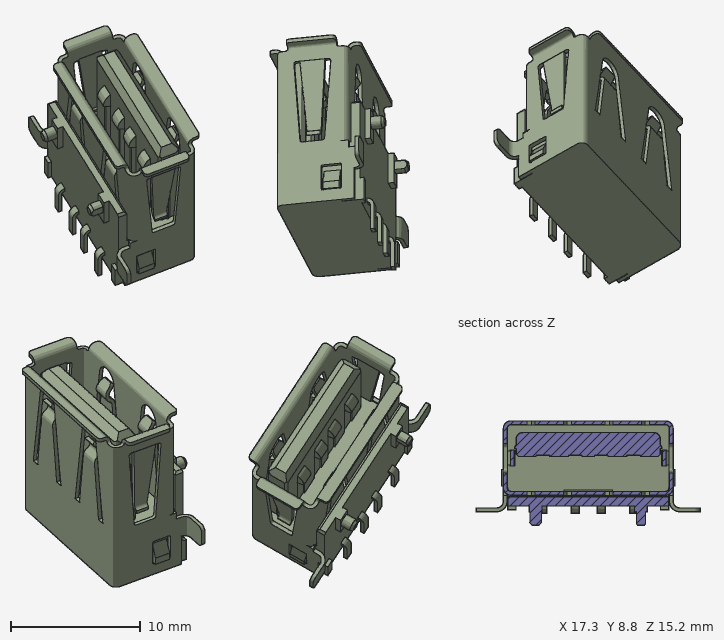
import cadquery as cq
import math


sheet = 0.31
shell_x = 6.55
shell_y = 2.87
shell_top = 13.1
corner_radius = 0.59
inner_x = shell_x - sheet
inner_y = shell_y - sheet

rim_top = 13.75
rim_bend = 0.41
rim_overhang = 0.75
rim_corner = 0.33
rim_root = 0.19
long_rim = 5.61
short_rim = 1.93

floor_z = 5.0
plate_x = 6.2
plate_top = 8.47
plate_back = -2.97
plate_front = -3.7
plate_chamfer = 0.19
tongue_x = 5.55
tongue_front = 0.1
tongue_back = 1.97
tongue_top = 13.32

pad_front = -4.15
peg_x = 4.05
peg_z = 7.47
peg_tip = -5.18
peg_radius = 0.5
contact_places = (-3.49, -1.0, 1.0, 3.49)


def box(x0, x1, y0, y1, z0, z1):
    return cq.Workplane("XY").box(x1 - x0, y1 - y0, z1 - z0, centered=False).translate((x0, y0, z0))


def mirrored(body):
    """The body together with its mirror image across X = 0."""
    return body.union(body.mirror("YZ"))


def bent_strip(plane, start, heading, moves, half_width):
    """Sheet strip following its middle line; each move is (length, 0) or (bend radius, turn in degrees)."""
    half = sheet / 2

    def side_point(middle, angle, side):
        return (middle[0] - side * half * math.sin(angle), middle[1] + side * half * math.cos(angle))

    middle = start
    angle = math.radians(heading)
    stations = [(middle, angle)]
    halfway = []
    for size, turn in moves:
        if turn == 0:
            middle = (middle[0] + size * math.cos(angle), middle[1] + size * math.sin(angle))
            halfway.append(None)
        else:
            sweep = math.radians(turn)
            reach = math.copysign(size, turn)
            center = (middle[0] - reach * math.sin(angle), middle[1] + reach * math.cos(angle))
            on_arc = [
                (center[0] + reach * math.sin(a), center[1] - reach * math.cos(a))
                for a in (angle + sweep / 2, angle + sweep)
            ]
            halfway.append((on_arc[0], angle + sweep / 2))
            middle = on_arc[1]
            angle += sweep
        stations.append((middle, angle))

    outline = cq.Workplane(plane).moveTo(*side_point(*stations[0], 1))
    for station, between in zip(stations[1:], halfway):
        if between is None:
            outline = outline.lineTo(*side_point(*station, 1))
        else:
            outline = outline.threePointArc(side_point(*between, 1), side_point(*station, 1))
    outline = outline.lineTo(*side_point(*stations[-1], -1))
    for station, between in zip(stations[-2::-1], halfway[::-1]):
        if between is None:
            outline = outline.lineTo(*side_point(*station, -1))
        else:
            outline = outline.threePointArc(side_point(*between, -1), side_point(*station, -1))
    return outline.close().extrude(half_width, both=True)


def shell_walls():
    """Rounded tube whose front wall stops at the socket floor; the side walls run on forward."""
    tab_top = 4.42
    side_front = -3.31
    outer = box(-shell_x, shell_x, -shell_y, shell_y, 0, shell_top).edges("|Z").fillet(corner_radius)
    inner = box(-inner_x, inner_x, -inner_y, inner_y, 0, shell_top)
    walls = outer.cut(inner.edges("|Z").fillet(corner_radius - sheet))
    corner_start = corner_radius - shell_y
    walls = walls.cut(box(-shell_x, shell_x, -shell_y, corner_start, 0, floor_z))
    side = box(-shell_x, -inner_x, -shell_y, corner_start, 0, floor_z)
    side = side.union(box(-shell_x, -inner_x, side_front, corner_start, 0, tab_top))
    return walls.union(mirrored(side)).union(mirrored(solder_tab(side_front, tab_top)))


def solder_tab(side_front, tab_top):
    """Tab bent outward from the side wall to lie on the board."""
    tab_height = 1.81
    tab_end = -8.63
    tip_radius = 0.47
    middle_x = sheet / 2 - shell_x
    bend = side_front - pad_front - sheet / 2
    flat = middle_x - bend - tab_end
    tab = bent_strip("XY", (middle_x, side_front), -90, [(bend, -90), (flat, 0)], tab_height / 2)
    return tab.edges("|Y and <X").fillet(tip_radius).translate((0, 0, tab_top - tab_height / 2))


def rim_flange(wall, half_length):
    """Flange flaring outward over a wall whose outer face is at X = wall."""
    middle = wall - sheet / 2
    rise = rim_top - sheet / 2 - rim_bend - shell_top
    flat = rim_overhang + sheet / 2 - rim_bend
    flange = bent_strip(
        "XZ", (middle, shell_top), 90, [(rise, 0), (rim_bend, -90), (flat, 0)], half_length
    )
    flange = flange.edges("|Z and >X").fillet(rim_corner)
    sweep = rim_root * (1 - math.sqrt(0.5))
    for side in (-1, 1):
        root = (
            cq.Workplane("YZ", origin=(wall - sheet, 0, 0))
            .moveTo(side * half_length, shell_top)
            .lineTo(side * (half_length + rim_root), shell_top)
            .threePointArc(
                (side * (half_length + sweep), shell_top + sweep),
                (side * half_length, shell_top + rim_root),
            )
            .close()
            .extrude(sheet)
        )
        flange = flange.union(root)
    return flange


def rim():
    flanges = mirrored(rim_flange(shell_x, short_rim))
    for turn in (90, 270):
        flanges = flanges.union(rim_flange(shell_y, long_rim).rotate((0, 0, 0), (0, 0, 1), turn))
    return flanges


spring_x = 3.0
spring_foot = 5.23
arch_top = 13.01
arch_shoulder = 12.2
arch_half_width = 1.0
arch_foot_half_width = 1.98


def arch_window():
    """Flared window with a round top, through the wall at -Y."""
    return (
        cq.Workplane("XZ", origin=(0, -inner_y + sheet, 0))
        .moveTo(-arch_foot_half_width, spring_foot)
        .lineTo(-arch_half_width, arch_shoulder)
        .threePointArc((0, arch_top), (arch_half_width, arch_shoulder))
        .lineTo(arch_foot_half_width, spring_foot)
        .close()
        .extrude(3 * sheet)
    )


def wall_spring():
    """Leaf rising from the foot of the arch window, humped inward near its tip."""
    straight_top = 10.08
    tip_z = 11.96
    tip_half_width = 0.57
    foot_half_width = 1.36
    tip_radius = 0.38
    blank_reach = 1.73
    inward_bend = (0.47, -60)
    hump = (0.55, 100)
    tip_length = 0.67
    strip = bent_strip(
        "YZ",
        (sheet / 2 - shell_y, spring_foot),
        90,
        [(straight_top - spring_foot, 0), inward_bend, hump, (tip_length, 0)],
        foot_half_width,
    )
    blank = (
        cq.Workplane("XZ", origin=(0, -shell_y, 0))
        .polyline([
            (-foot_half_width, spring_foot),
            (-tip_half_width, tip_z),
            (tip_half_width, tip_z),
            (foot_half_width, spring_foot),
        ])
        .close()
        .extrude(blank_reach, both=True)
        .edges("|Y and >Z")
        .fillet(tip_radius)
    )
    return strip.intersect(blank)


def at_arch_places(body):
    pair = mirrored(body.translate((spring_x, 0, 0)))
    return pair.union(pair.mirror("XZ"))


side_window_top = 12.13


def trapezoid_prism(top_half, foot_half, top_z, foot_z, reach):
    """Upright prism with a trapezoid outline in YZ, centred on the side wall at -X."""
    return (
        cq.Workplane("YZ", origin=(-shell_x, 0, 0))
        .polyline([(-foot_half, foot_z), (-top_half, top_z), (top_half, top_z), (foot_half, foot_z)])
        .close()
        .extrude(reach, both=True)
    )


def side_window():
    top_half_width = 1.47
    foot_half_width = 0.97
    window_corner = 0.2
    window = trapezoid_prism(top_half_width, foot_half_width, side_window_top, spring_foot, 2 * sheet)
    return window.edges("|X").fillet(window_corner)


def side_spring():
    """Leaf hanging from the top of the side window, leaning inward with its tip curled out."""
    lean = 6
    straight = 5.7
    curl_radius = 0.48
    curl = 90 - lean
    root_half_width = 1.0
    tip_half_width = 0.52
    foot_z = 5.87
    root_z = side_window_top + sheet / 2
    strip = bent_strip(
        "XZ",
        (sheet / 2 - shell_x, root_z),
        lean - 90,
        [(straight, 0), (curl_radius, -curl)],
        root_half_width,
    )
    return strip.intersect(trapezoid_prism(root_half_width, tip_half_width, root_z, foot_z, 4 * sheet))


latch_foot = 0.98


def latch_window():
    front = -2.3
    back = -0.7
    top = 3.09
    window_corner = 0.1
    window = box(-shell_x - sheet, -inner_x, front, back, latch_foot, top)
    return window.edges("|X").fillet(window_corner)


def latch():
    """Wedge standing on the insulator inside the latch window."""
    latch_x = -6.68
    back = -0.86
    width = 1.3
    ramp_foot = 1.57
    ramp_top = 2.68
    root_x = 0.17 - inner_x
    return (
        cq.Workplane("XZ", origin=(0, back, 0))
        .polyline([(root_x, latch_foot), (latch_x, latch_foot), (latch_x, ramp_foot),
                   (-inner_x, ramp_top), (root_x, ramp_top)])
        .close()
        .extrude(width)
    )


def insulator_base():
    """Block closing the bottom of the shell, with a slot in its floor and an upright plate in front."""
    block = box(-inner_x, inner_x, corner_radius - shell_y, inner_y, 0, floor_z)
    block = block.edges("|Z and >Y").fillet(corner_radius - sheet)
    link = box(-plate_x, plate_x, plate_back, corner_radius - shell_y, 0, floor_z)
    plate = box(-plate_x, plate_x, plate_front, plate_back, 0, plate_top)
    plate = plate.edges("|Y and >Z").chamfer(plate_chamfer)
    plate = plate.edges(">Z and >Y").chamfer(plate_chamfer)
    slot_x = 1.86
    slot_width = 0.1
    slot_depth = 0.35
    slot = box(-slot_x, slot_x, -inner_y, slot_width - inner_y, floor_z - slot_depth, floor_z)
    standoff_width = 0.65
    standoff_front = -3.99
    standoff_top = 1.86
    standoff = box(-plate_x, standoff_width - plate_x, standoff_front, plate_front, 0, standoff_top)
    return block.union(link).cut(slot).union(plate).union(mirrored(standoff))


def tongue():
    """Contact carrier with a bevelled top, rounded back corners and a thin rib on each side."""
    bevel = 0.52
    front_bevel = 0.41
    bevel_height = 0.65
    front_corner = 0.2
    shoulder = tongue_top - bevel_height
    body = box(-tongue_x, tongue_x, tongue_front, tongue_back, floor_z, tongue_top)
    body = body.edges("|Z and >Y").fillet(bevel)
    body = body.edges("|Z and <Y").chamfer(front_corner)
    front_outline = (
        cq.Workplane("XZ")
        .polyline([(-tongue_x, floor_z), (-tongue_x, shoulder), (bevel - tongue_x, tongue_top),
                   (tongue_x - bevel, tongue_top), (tongue_x, shoulder), (tongue_x, floor_z)])
        .close()
        .extrude(-2 * tongue_back)
    )
    side_outline = (
        cq.Workplane("YZ")
        .polyline([(tongue_front, floor_z), (tongue_front, shoulder),
                   (tongue_front + front_bevel, tongue_top), (tongue_back - bevel, tongue_top),
                   (tongue_back, shoulder), (tongue_back, floor_z)])
        .close()
        .extrude(2 * tongue_x, both=True)
    )
    rib_x = -5.66
    rib_front = 0.72
    rib_slope = 0.86
    rib_back = 1.02
    rib_root = 0.17 - tongue_x
    rib_top = 10.35
    rib = (
        cq.Workplane("XY", origin=(0, 0, floor_z))
        .polyline([(rib_root, rib_front), (rib_x, rib_front), (rib_x, rib_slope),
                   (-tongue_x, rib_back), (rib_root, rib_back)])
        .close()
        .extrude(rib_top - floor_z)
    )
    return body.intersect(front_outline).intersect(side_outline).union(mirrored(rib))


contact_width = 1.04
bump_foot = 9.56
bump_top = 10.98


def contact_groove(x):
    """Shallow groove in the tongue below each contact bump."""
    depth = 0.1
    half = contact_width / 2
    return box(x - half, x + half, tongue_front, tongue_front + depth, floor_z, bump_foot)


def contact_bump(x):
    """Bowed end of a contact standing out of the tongue's front face."""
    crest = (-0.48, 9.84)
    bow_middle = (-0.33, 10.56)
    root_y = tongue_front + 0.17
    return (
        cq.Workplane("YZ", origin=(x, 0, 0))
        .moveTo(root_y, bump_foot)
        .lineTo(tongue_front, bump_foot)
        .lineTo(*crest)
        .threePointArc(bow_middle, (tongue_front, bump_top))
        .lineTo(root_y, bump_top)
        .close()
        .extrude(contact_width / 2, both=True)
    )


def solder_pin(x):
    """Pin leaving the plate and bending down past the bottom edge."""
    pin_width = 0.62
    pin_top = 1.25
    pin_foot = -1.4
    bend = 0.47
    straight = pin_top - sheet / 2 - bend - pin_foot
    bend_start = plate_front + 0.05
    embedded = 0.17
    start = (bend_start + embedded, pin_top - sheet / 2)
    pin = bent_strip("YZ", start, 180, [(embedded, 0), (bend, 90), (straight, 0)], pin_width / 2)
    return pin.translate((x, 0, 0))


def locating_peg(x):
    """Round peg with a bevelled tip, standing on a pad at the top of the plate."""
    tip_bevel = 0.17
    tip_length = 0.22
    pad_height = 2.52
    root = plate_front + 0.17
    pad = box(x - peg_radius, x + peg_radius, pad_front, plate_front, plate_top - pad_height, plate_top)
    peg = cq.Workplane("XZ", origin=(x, root, peg_z)).circle(peg_radius).extrude(root - peg_tip)
    peg = peg.faces("<Y").chamfer(tip_length, tip_bevel)
    return pad, peg


def pegs():
    """Left peg fully round; the right one flattened on both sides to allow for tolerance."""
    flat_half = 0.36
    left_pad, left_peg = locating_peg(-peg_x)
    right_pad, right_peg = locating_peg(peg_x)
    flats = box(peg_x - flat_half, peg_x + flat_half, peg_tip, plate_front + 0.17, floor_z, plate_top)
    return left_pad.union(left_peg).union(right_pad).union(right_peg.intersect(flats))


shell = shell_walls().union(rim())
shell = shell.cut(at_arch_places(arch_window())).union(at_arch_places(wall_spring()))
shell = shell.cut(mirrored(side_window())).union(mirrored(side_spring()))
shell = shell.cut(mirrored(latch_window()))

insulator = insulator_base().union(tongue()).union(mirrored(latch())).union(pegs())
for place in contact_places:
    insulator = insulator.cut(contact_groove(place))
    insulator = insulator.union(contact_bump(place)).union(solder_pin(place))

result = shell.union(insulator)